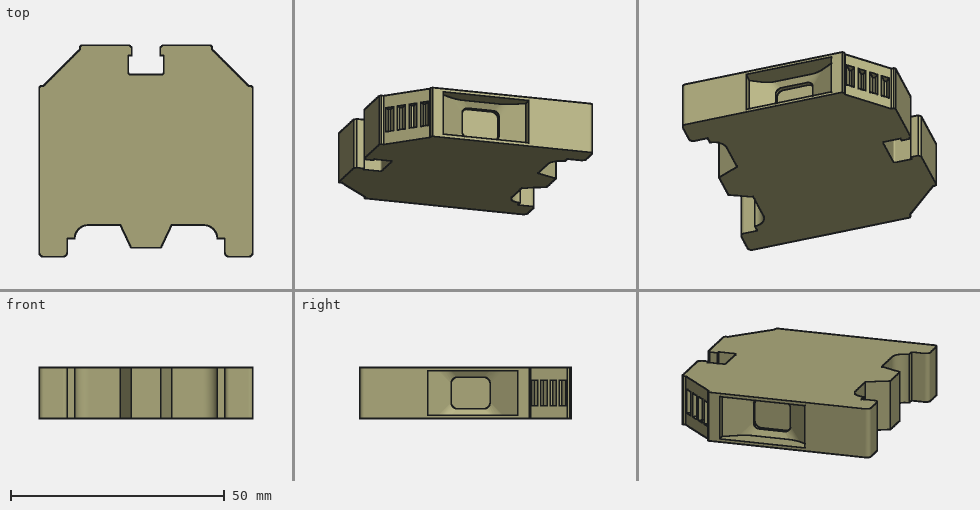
import cadquery as cq
import math

width = 50.0
length = 49.5
thickness = 12.0
half_width = width / 2
back = length / 2
front = -length / 2

corner_chamfer = 9.9
recess_offset = 0.6
upper_lip_drop = 0.35
lower_lip_rise = 0.4

neck_half_width = 3.3
notch_half_width = 4.1
neck_depth = 2.45
notch_depth = 6.85
neck_chamfer = 0.6
notch_round = 0.4

foot_inner_x = 18.4
foot_round = 1.05
step_height = 4.25
arch_radius = 6.3 / 2
arch_center_x = 13.5
arch_height = step_height + arch_radius
tongue_base_half_width = 6.0
tongue_tip_half_width = 3.5
tongue_tip_height = 2.1

entry_center_y = 1.7
entry_length = 21.05
entry_height = 10.4
throat_center_y = 1.2
throat_length = 9.1
throat_height = 7.4
throat_round = 1.5
funnel_depth = 5.6
funnel_angle = 60.0
throat_depth = 1.05

slot_count = 4
slot_pitch = 2.15
slot_length = 1.45
slot_height = 5.85
slot_wall = 0.9
first_slot_y = back - 1.35


def recess_x(y):
    """X of the recessed slope on the left side at a given Y."""
    return -half_width + recess_offset + y - (back - corner_chamfer)


def mirrored(solid):
    """The solid together with its mirror image on the other side."""
    return solid.union(solid.mirror("YZ"))


def half_body():
    """Left half of the block."""
    chamfer_top_x = -half_width + corner_chamfer
    upper_lip_x = chamfer_top_x - upper_lip_drop
    lower_lip_y = back - corner_chamfer + lower_lip_rise
    recess_top_y = upper_lip_x - recess_x(0)
    arch_mid = arch_radius * math.sqrt(0.5)
    arch_center_y = front + step_height
    outline = (
        cq.Workplane("XY")
        .workplane(offset=-thickness / 2)
        .moveTo(0, back - notch_depth)
        .lineTo(-notch_half_width, back - notch_depth)
        .lineTo(-notch_half_width, back - neck_depth)
        .lineTo(-neck_half_width, back - neck_depth)
        .lineTo(-neck_half_width, back - neck_chamfer)
        .lineTo(-neck_half_width - neck_chamfer, back)
        .lineTo(chamfer_top_x, back)
        .lineTo(upper_lip_x, back - upper_lip_drop)
        .lineTo(upper_lip_x, recess_top_y)
        .lineTo(recess_x(lower_lip_y), lower_lip_y)
        .lineTo(-half_width + lower_lip_rise, lower_lip_y)
        .lineTo(-half_width, back - corner_chamfer)
        .lineTo(-half_width, front)
        .lineTo(-foot_inner_x, front)
        .lineTo(-foot_inner_x, arch_center_y)
        .lineTo(-arch_center_x - arch_radius, arch_center_y)
        .threePointArc(
            (-arch_center_x - arch_mid, arch_center_y + arch_mid),
            (-arch_center_x, front + arch_height),
        )
        .lineTo(-tongue_base_half_width, front + arch_height)
        .lineTo(-tongue_tip_half_width, front + tongue_tip_height)
        .lineTo(0, front + tongue_tip_height)
        .close()
    )
    body = outline.extrude(thickness)
    body = round_edge(body, -half_width, front, foot_round)
    body = round_edge(body, -foot_inner_x, front, foot_round)
    return round_edge(body, -notch_half_width, back - notch_depth, notch_round)


def round_edge(body, x, y, radius):
    """Round the vertical edge at (x, y)."""
    edge = cq.selectors.NearestToPointSelector((x, y, 0))
    return body.edges("|Z").edges(edge).fillet(radius)


def throat_outline(margin):
    """Rounded throat outline, grown by a margin with the same corner radius."""
    sketch = cq.Sketch().rect(throat_length + 2 * margin, throat_height + 2 * margin)
    return sketch.vertices().fillet(throat_round)


def side_entry():
    """Left entry: a box-limited funnel ending in a short straight throat."""
    floor_x = -half_width + funnel_depth
    floor_plane = cq.Plane(origin=(floor_x, throat_center_y, 0), xDir=(0, 1, 0), normal=(-1, 0, 0))
    funnel_flare = funnel_depth * math.tan(math.radians(funnel_angle))
    floor_outline = throat_outline(0)
    mouth_outline = throat_outline(funnel_flare).moved(cq.Location(cq.Vector(0, 0, funnel_depth)))
    funnel = cq.Workplane(floor_plane).placeSketch(floor_outline, mouth_outline).loft(ruled=True)
    limits = (
        cq.Workplane("XY")
        .box(funnel_depth, entry_length, entry_height, centered=(False, True, True))
        .translate((-half_width, entry_center_y, 0))
    )
    throat = cq.Workplane(floor_plane).placeSketch(floor_outline).extrude(-throat_depth)
    return funnel.intersect(limits).union(throat)


def slope_slot(top_y):
    """One slot in the left slope; its upper wall is square to the slope."""
    bottom_y = top_y - slot_length
    floor_x = recess_x(top_y) + slot_wall
    return (
        cq.Workplane("XY")
        .workplane(offset=-slot_height / 2)
        .moveTo(recess_x(top_y), top_y)
        .lineTo(floor_x, top_y - slot_wall)
        .lineTo(floor_x, bottom_y)
        .lineTo(recess_x(bottom_y), bottom_y)
        .close()
        .extrude(slot_height)
    )


result = mirrored(half_body()).cut(mirrored(side_entry()))
for index in range(slot_count):
    result = result.cut(mirrored(slope_slot(first_slot_y - index * slot_pitch)))